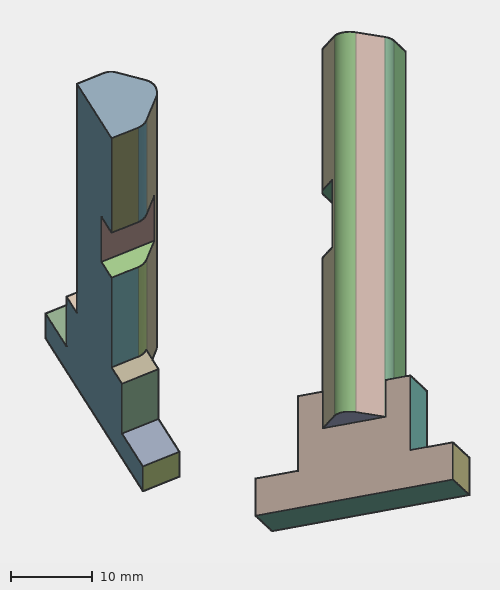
import cadquery as cq
import math

height = 61.0
plate_thickness = 5.0
base_width = 26.35
base_height = 5.0
step_width = 15.0
step_top = 15.0

shank_width = 9.4
shank_depth = 8.35
ridge_bottom = 10.05
roof_angle = 45.0
edge_radius = 2.0

notch_depth = 2.75
notch_bottom = 33.0
notch_top = 42.0


def plate_block(width, top):
    """Block standing on Z = 0, centred on X, with its front face on Y = 0."""
    return cq.Workplane("XY").box(width, plate_thickness, top, centered=(True, False, False))


def make_shank():
    """Pentagonal bar reaching from the ridge bottom to the top of the part."""
    half_width = shank_width / 2
    slope = math.radians(roof_angle)
    sharp_ridge = shank_depth + edge_radius * (1 / math.cos(slope) - 1)
    shoulder = sharp_ridge - half_width * math.tan(slope)
    outline = [
        (-half_width, 0),
        (half_width, 0),
        (half_width, shoulder),
        (0, sharp_ridge),
        (-half_width, shoulder),
    ]
    bar = (
        cq.Workplane("XY")
        .workplane(offset=ridge_bottom)
        .polyline(outline)
        .close()
        .extrude(height - ridge_bottom)
    )
    return bar.edges("|Z and (not <Y)").fillet(edge_radius)


def make_notch():
    """Cutter for the notch, open on the +X side and through the full depth."""
    return cq.Workplane("XY").box(
        notch_depth, shank_depth, notch_top - notch_bottom, centered=False
    ).translate((shank_width / 2 - notch_depth, 0, notch_bottom))


foot = plate_block(base_width, base_height).union(plate_block(step_width, step_top))
result = foot.union(make_shank()).cut(make_notch())